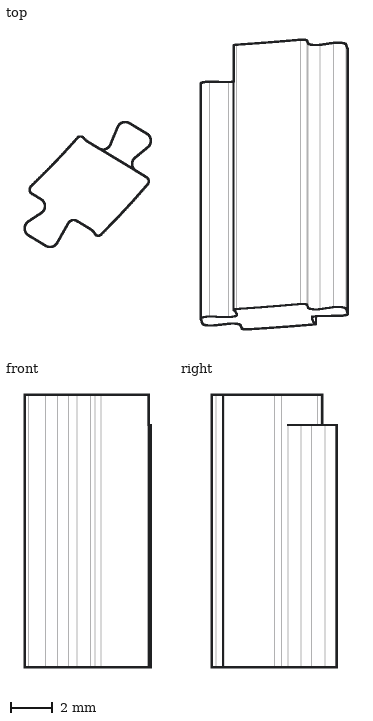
import cadquery as cq

BODY_HEIGHT = 13.05
UPPER_TAIL_HEIGHT = 11.6

SECTION_ANGLE = -31.2

END_FACE_OFFSET = 1.762
LEFT_ACUTE_X = -2.363
LEFT_OBTUSE = (-1.53, 1.953)
LEFT_KINK_X = -1.257
RIGHT_ACUTE_X = 2.49
RIGHT_OBTUSE = (1.706, -2.019)
RIGHT_KINK_X = 1.425
SIDE_BOW = 0.05

CORNER_RADIUS = 0.23
LIP_RADIUS = 0.18
LIP_BLEND_RADIUS = 0.65

TAIL_ROOT_WIDTH = 1.1
TAIL_TIP_WIDTH = 2.0
TAIL_LENGTH = 1.79
TAIL_TIP_RADIUS = 0.4
TAIL_ROOT_RADIUS = 0.38
LOWER_TAIL_ROOT_X = -0.393
LOWER_TAIL_SKEW = -0.399
LOWER_TAIL_RIGHT_ROOT_RADIUS = 0.29
UPPER_TAIL_ROOT_X = 0.546
UPPER_TAIL_SKEW = 0.177

TAIL_OVERLAP = 0.5
PICK_SIZE = 0.02


def fillet_vertical_edge(solid, point, radius):
    """Round the vertical edge that passes through a local (x, y) point."""
    x, y = point
    picker = cq.selectors.BoxSelector(
        (x - PICK_SIZE, y - PICK_SIZE, -BODY_HEIGHT),
        (x + PICK_SIZE, y + PICK_SIZE, 2 * BODY_HEIGHT),
    )
    return solid.edges("|Z").edges(picker).fillet(radius)


def bowed_midpoint(start, end):
    """Middle point of a side arc that bulges toward local +X."""
    return ((start[0] + end[0]) / 2 + SIDE_BOW, (start[1] + end[1]) / 2)


def make_body():
    """Skewed block with one concave and one convex side and a lip on each obtuse corner."""
    left_acute = (LEFT_ACUTE_X, -END_FACE_OFFSET)
    right_acute = (RIGHT_ACUTE_X, END_FACE_OFFSET)
    left_kink = (LEFT_KINK_X, END_FACE_OFFSET)
    right_kink = (RIGHT_KINK_X, -END_FACE_OFFSET)
    body = (
        cq.Workplane("XY")
        .moveTo(*left_acute)
        .lineTo(*right_kink)
        .lineTo(*RIGHT_OBTUSE)
        .threePointArc(bowed_midpoint(RIGHT_OBTUSE, right_acute), right_acute)
        .lineTo(*left_kink)
        .lineTo(*LEFT_OBTUSE)
        .threePointArc(bowed_midpoint(LEFT_OBTUSE, left_acute), left_acute)
        .close()
        .extrude(BODY_HEIGHT)
    )
    for corner in (left_acute, right_acute):
        body = fillet_vertical_edge(body, corner, CORNER_RADIUS)
    for corner in (LEFT_OBTUSE, RIGHT_OBTUSE):
        body = fillet_vertical_edge(body, corner, LIP_RADIUS)
    for kink in (left_kink, right_kink):
        body = fillet_vertical_edge(body, kink, LIP_BLEND_RADIUS)
    return body


def add_tail(body, direction, root_x, skew, height, left_root_radius, right_root_radius):
    """Join a dovetail to the end face on the +Y (direction 1) or -Y (direction -1) side."""
    root_y = direction * END_FACE_OFFSET
    tip_y = root_y + direction * TAIL_LENGTH
    inner_y = root_y - direction * TAIL_OVERLAP
    left_root = (root_x - TAIL_ROOT_WIDTH / 2, root_y)
    right_root = (root_x + TAIL_ROOT_WIDTH / 2, root_y)
    left_tip = (root_x + skew - TAIL_TIP_WIDTH / 2, tip_y)
    right_tip = (root_x + skew + TAIL_TIP_WIDTH / 2, tip_y)
    outline = [
        (left_root[0], inner_y),
        left_root,
        left_tip,
        right_tip,
        right_root,
        (right_root[0], inner_y),
    ]
    tail = cq.Workplane("XY").polyline(outline).close().extrude(height)
    for tip in (left_tip, right_tip):
        tail = fillet_vertical_edge(tail, tip, TAIL_TIP_RADIUS)
    joined = body.union(tail)
    joined = fillet_vertical_edge(joined, left_root, left_root_radius)
    return fillet_vertical_edge(joined, right_root, right_root_radius)


part = make_body()
part = add_tail(
    part, -1, LOWER_TAIL_ROOT_X, LOWER_TAIL_SKEW, BODY_HEIGHT,
    TAIL_ROOT_RADIUS, LOWER_TAIL_RIGHT_ROOT_RADIUS,
)
part = add_tail(
    part, 1, UPPER_TAIL_ROOT_X, UPPER_TAIL_SKEW, UPPER_TAIL_HEIGHT,
    TAIL_ROOT_RADIUS, TAIL_ROOT_RADIUS,
)

result = part.rotate((0, 0, 0), (0, 0, 1), SECTION_ANGLE)